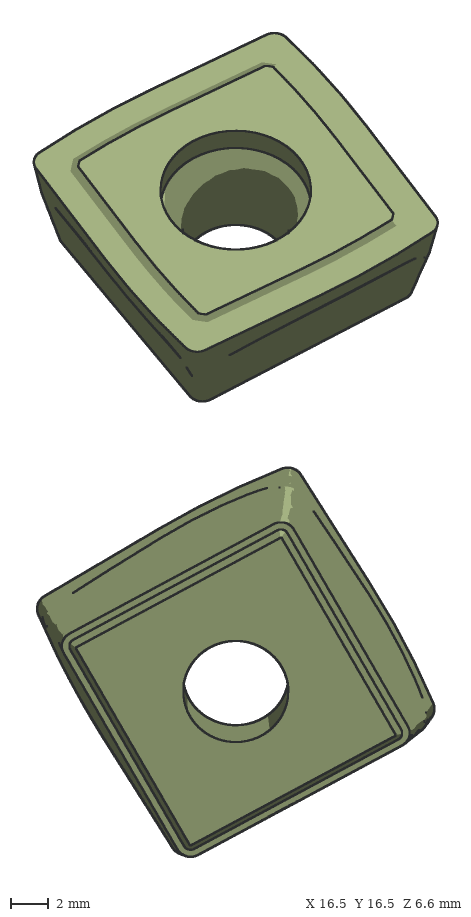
import cadquery as cq
import math


total_height = 6.6
rim_z = 6.4
ledge_z = 4.34
pad_height = 0.38

rim_half = 8.25
rim_corner_radius = 0.82
corner_setback = 1.39
arc_start = 0.26
rim_relief = math.radians(7)

body_turn = 2.3
body_bottom_half = 7.0
body_corner_radius = 0.8
body_relief = math.radians(10.5)
ledge_radius = 1.48

pad_inset = 0.4
pad_chamfer = 0.35

plateau_inset = 1.47
plateau_ramp_width = 0.43
plateau_foot_cut = 0.6
plateau_top_cut = 0.26
plateau_corner_fillet = 0.25
plateau_foot_fillet = 0.2

seat_diameter = 7.99
throat_diameter = 5.58
seat_depth = 1.48
seat_curve_radius = 2.48

QUARTER_TURNS = (0, 90, 180, 270)


def turned(x, y, degrees):
    """Rotate a point about the centre."""
    angle = math.radians(degrees)
    return (
        x * math.cos(angle) - y * math.sin(angle),
        x * math.sin(angle) + y * math.cos(angle),
    )


def side_radius(half):
    """Radius of a side arc that runs tangentially into the corner circle of a rim-shaped outline."""
    reach = half - rim_corner_radius - arc_start
    drop = corner_setback - rim_corner_radius
    return (reach**2 + corner_setback**2 - rim_corner_radius**2) / (2 * drop)


def side_arc_points(half, radius, end_angle):
    """Middle and end of the arc that carries on from the straight part of the -Y side."""
    return [
        (arc_start + radius * math.sin(a), radius - half - radius * math.cos(a))
        for a in (end_angle / 2, end_angle)
    ]


def rim_outline(half, z):
    """Four straight-then-curved sides joined by round corners."""
    corner_x = half - rim_corner_radius
    corner_y = corner_setback - half
    radius = side_radius(half)
    end_angle = math.asin((corner_x - arc_start) / (radius - rim_corner_radius))
    arc_middle, arc_end = side_arc_points(half, radius, end_angle)
    corner_angle = (end_angle + math.pi / 2) / 2
    corner_middle = (
        corner_x + rim_corner_radius * math.sin(corner_angle),
        corner_y - rim_corner_radius * math.cos(corner_angle),
    )
    corner_end = (half, corner_y)

    outline = cq.Workplane("XY").workplane(offset=z).moveTo(corner_setback - half, -half)
    for turn in QUARTER_TURNS:
        outline = outline.lineTo(*turned(arc_start, -half, turn))
        outline = outline.threePointArc(turned(*arc_middle, turn), turned(*arc_end, turn))
        outline = outline.threePointArc(turned(*corner_middle, turn), turned(*corner_end, turn))
    return outline.wire().val()


def plateau_outline(half, corner_cut, z):
    """Outline concentric with the rim, its corners cut off straight."""
    radius = side_radius(rim_half) - (rim_half - half)
    reach = half - arc_start
    corner_drop = radius - math.sqrt(radius**2 - reach**2)
    end_angle = math.asin((reach - corner_cut) / radius)
    arc_middle, arc_end = side_arc_points(half, radius, end_angle)

    outline = cq.Workplane("XY").workplane(offset=z).moveTo(corner_drop + corner_cut - half, -half)
    for turn in QUARTER_TURNS:
        outline = outline.lineTo(*turned(arc_start, -half, turn))
        outline = outline.threePointArc(turned(*arc_middle, turn), turned(*arc_end, turn))
        if turn != QUARTER_TURNS[-1]:
            outline = outline.lineTo(*turned(half, corner_drop + corner_cut - half, turn))
    return outline.close().val()


def rounded_square(half, corner_radius, z):
    """Square with round corners, turned with the lower body."""
    square = cq.Sketch().rect(2 * half, 2 * half).vertices().fillet(corner_radius)
    block = cq.Workplane("XY").placeSketch(square).extrude(0.16)
    outline = block.faces("<Z").val().outerWire()
    return outline.rotate(cq.Vector(), cq.Vector(0, 0, 1), body_turn).translate(cq.Vector(0, 0, z))


def lofted(lower_outline, upper_outline):
    """Straight-walled solid between two outlines."""
    return cq.Workplane(cq.Solid.makeLoft([lower_outline, upper_outline], True))


def upper_flanks():
    """Relieved walls under the rim, run down to the bottom of the body."""
    inset = (rim_z - pad_height) * math.tan(rim_relief)
    return lofted(rim_outline(rim_half - inset, pad_height), rim_outline(rim_half, rim_z))


def ledge_cutter(half):
    """Bar along the +Y side, hollowed below the concave ledge that runs out of the body flank."""
    far = 2 * rim_half
    centre_y = half + ledge_radius * math.cos(body_relief)
    centre_z = ledge_z - ledge_radius * math.sin(body_relief)
    middle_angle = (math.pi / 2 + math.pi - body_relief) / 2
    middle = (
        centre_y + ledge_radius * math.cos(middle_angle),
        centre_z + ledge_radius * math.sin(middle_angle),
    )
    ledge_top_z = centre_z + ledge_radius
    return (
        cq.Workplane("YZ")
        .moveTo(half, ledge_z)
        .threePointArc(middle, (centre_y, ledge_top_z))
        .lineTo(far, ledge_top_z)
        .lineTo(far, ledge_z)
        .close()
        .extrude(rim_half, both=True)
    )


def body_limits():
    """Space open to the flanks: the turned square below the ledge line, a wide block above it."""
    ledge_half = body_bottom_half + (ledge_z - pad_height) * math.tan(body_relief)
    lower = lofted(
        rounded_square(body_bottom_half, body_corner_radius, pad_height),
        rounded_square(ledge_half, body_corner_radius, ledge_z),
    )
    width = 3 * rim_half
    upper = cq.Workplane("XY").workplane(offset=ledge_z).rect(width, width).extrude(rim_z - ledge_z)
    for turn in QUARTER_TURNS:
        upper = upper.cut(ledge_cutter(ledge_half).rotate((0, 0, 0), (0, 0, 1), turn + body_turn))
    return lower.union(upper)


def pad():
    """Seating pad, chamfered all round."""
    half = body_bottom_half - pad_inset
    radius = body_corner_radius - pad_inset
    return lofted(
        rounded_square(half - pad_chamfer, radius - pad_chamfer, 0),
        rounded_square(half, radius, pad_height),
    )


def plateau():
    """Low raised field with sloping sides and softened corner edges."""
    half = rim_half - plateau_inset
    field = lofted(
        plateau_outline(half, plateau_foot_cut, rim_z),
        plateau_outline(half - plateau_ramp_width, plateau_top_cut, total_height),
    )
    corner_edges = [
        edge
        for edge in field.edges("not #Z").vals()
        if min(abs(edge.Center().x), abs(edge.Center().y)) > half / 2
    ]
    return field.newObject(corner_edges).fillet(plateau_corner_fillet)


def screw_hole():
    """Straight mouth, rounded screw seat and straight throat."""
    seat = seat_diameter / 2
    throat = throat_diameter / 2
    seat_z = total_height - seat_depth
    sweep = math.acos(1 - (seat - throat) / seat_curve_radius)
    throat_z = seat_z - seat_curve_radius * math.sin(sweep)
    middle = (
        throat + seat_curve_radius * (1 - math.cos(sweep / 2)),
        throat_z + seat_curve_radius * math.sin(sweep / 2),
    )
    return (
        cq.Workplane("XZ")
        .lineTo(throat, 0)
        .lineTo(throat, throat_z)
        .threePointArc(middle, (seat, seat_z))
        .lineTo(seat, total_height)
        .lineTo(0, total_height)
        .close()
        .revolve(360, (0, 0, 0), (0, 1, 0))
    )


def with_foot_fillet(body):
    """Blend the foot of the plateau into the flat rim around it."""
    reach = rim_half - plateau_inset / 2
    margin = (total_height - rim_z) / 10
    foot_edges = cq.selectors.BoxSelector(
        (-reach, -reach, rim_z - margin), (reach, reach, rim_z + margin)
    )
    return body.edges(foot_edges).fillet(plateau_foot_fillet)


body = upper_flanks().intersect(body_limits()).union(pad()).union(plateau())
result = with_foot_fillet(body).cut(screw_hole())